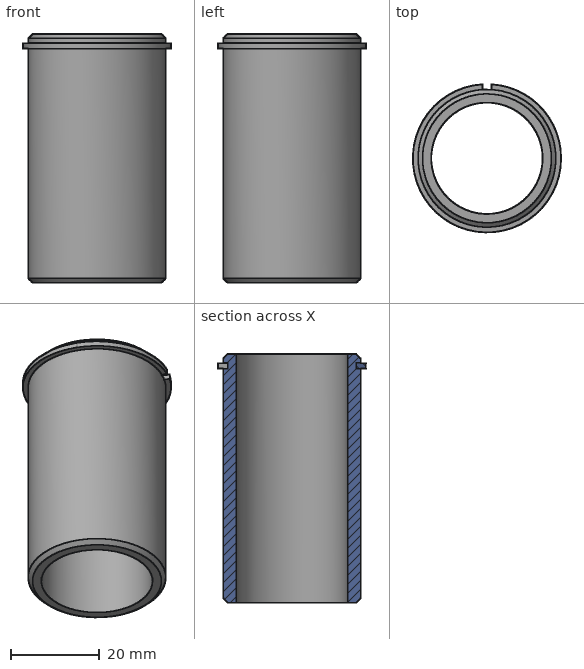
import cadquery as cq

sleeve_outer_diameter = 31.0
sleeve_bore_diameter = 25.0
sleeve_length = 56.0
end_chamfer = 1.0

ring_outer_diameter = 33.4
ring_thickness = 1.2
ring_gap = 2.0
groove_width = 1.3
groove_depth = 1.0
groove_top_offset = 2.0

groove_bottom = sleeve_length - groove_top_offset - groove_width
groove_diameter = sleeve_outer_diameter - 2 * groove_depth


def tube(outer_diameter, inner_diameter, bottom, height):
    """Plain tube around the Z axis, standing on the height `bottom`."""
    return (
        cq.Workplane("XY", origin=(0, 0, bottom))
        .circle(outer_diameter / 2)
        .circle(inner_diameter / 2)
        .extrude(height)
    )


def make_sleeve():
    """Straight sleeve, chamfered outside at both ends, with a ring groove near the top."""
    body = (
        cq.Workplane("XY")
        .circle(sleeve_outer_diameter / 2)
        .extrude(sleeve_length)
        .faces("<Z or >Z")
        .edges()
        .chamfer(end_chamfer)
    )
    bore = cq.Workplane("XY").circle(sleeve_bore_diameter / 2).extrude(sleeve_length)
    groove = tube(ring_outer_diameter, groove_diameter, groove_bottom, groove_width)
    return body.cut(bore).cut(groove)


def make_snap_ring():
    """Flat ring seated on the lower groove wall, split by a parallel gap on the +Y side."""
    ring = tube(ring_outer_diameter, groove_diameter, groove_bottom, ring_thickness)
    gap = cq.Workplane("XY", origin=(0, 0, groove_bottom)).box(
        ring_gap, ring_outer_diameter, ring_thickness, centered=(True, False, False)
    )
    return ring.cut(gap)


sleeve = make_sleeve()
snap_ring = make_snap_ring()

result = cq.Compound.makeCompound([sleeve.val(), snap_ring.val()])